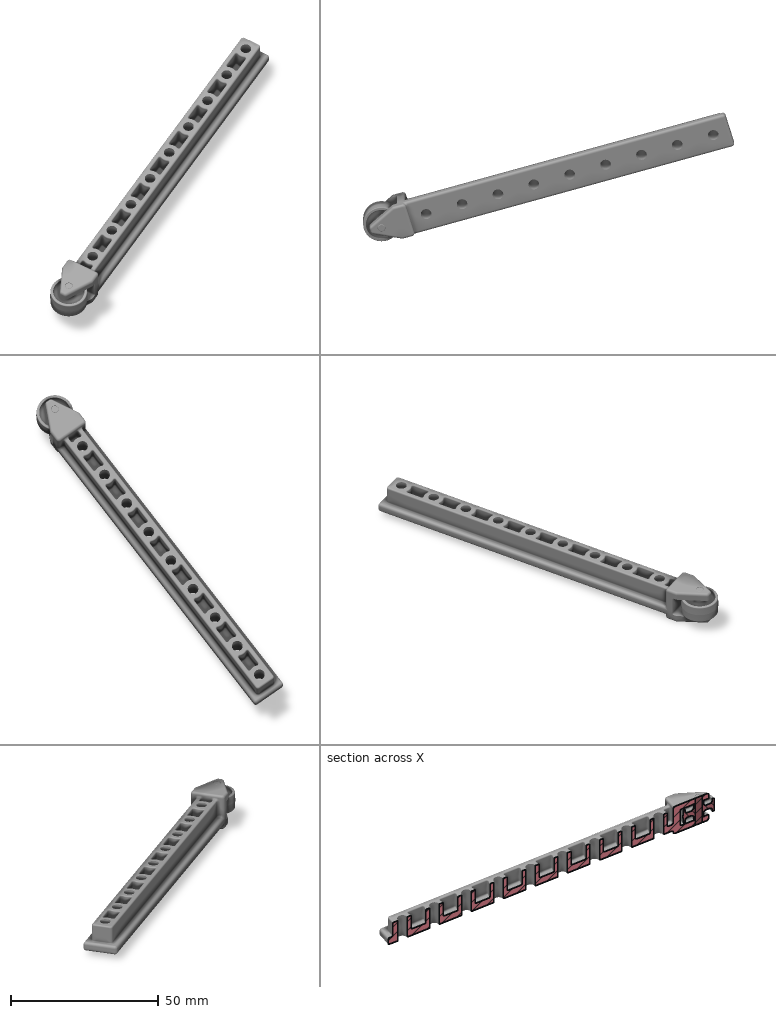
import cadquery as cq

RAIL_END_Y = 123.2
FOOT_WIDTH = 12.0
FOOT_BOTTOM_Z = -4.7
FOOT_TOP_Z = -1.5
WEB_WIDTH = 7.4
WEB_TOP_Z = 4.7
WEB_SETBACK = 2.0
EDGE_ROUND = 0.9
WEB_TOP_ROUND = 0.5
WEB_ROOT_ROUND = 0.4

HOLE_RADIUS = 1.8
HOLE_PITCH = 12.7
HOLE_COUNT = 9
FIRST_HOLE_Y = 15.8
POCKET_WIDTH = 4.1
POCKET_FLOOR_Z = FOOT_TOP_Z
POCKET_CORNER_ROUND = 0.5
POCKET_RIM_ROUND = 0.4
POCKET_FLOOR_ROUND = 0.4
BOSS_RADIUS = 3.5

FORK_HEIGHT = 12.5
FORK_BACK_Y = 10.1
FORK_TIP_Y = -4.0
FORK_TIP_WIDTH = 2.3
TAPER_START_Y = 5.7
HEAD_CORNER_ROUND = 1.0
PRONG_EDGE_ROUND = 0.84
HEAD_TOP_ROOT_ROUND = 0.8
HEAD_BOTTOM_ROOT_ROUND = 0.6
SLOT_END_Y = 7.3
SLOT_HEIGHT = 7.0
SLOT_CORNER_ROUND = 0.5

WHEEL_RADIUS = 6.3
WHEEL_WIDTH = 6.0
WHEEL_FACE_RADIUS = 6.2
WHEEL_EDGE_ROUND = 0.3
RIM_INNER_RADIUS = 5.3
HUB_RADIUS = 2.1
HUB_LENGTH = SLOT_HEIGHT
DISC_WIDTH = 2.3
DISC_CORNER_ROUND = 0.9

PIN_RADIUS = 1.3
PIN_EDGE_ROUND = 0.3

MARGIN = 0.1


def block(width, y_start, y_end, z_start, z_end):
    """A box centred on X = 0 between the given Y and Z limits."""
    size = (width, y_end - y_start, z_end - z_start)
    corner = (0, y_start, z_start)
    return cq.Workplane("XY").box(*size, centered=(True, False, False)).translate(corner)


def cylinder(radius, z_start, z_end, y=0):
    """A cylinder parallel to Z whose axis crosses the Y axis at y."""
    return cq.Workplane("XY", origin=(0, y, z_start)).circle(radius).extrude(z_end - z_start)


def make_foot():
    foot = block(FOOT_WIDTH, SLOT_END_Y, RAIL_END_Y, FOOT_BOTTOM_Z, FOOT_TOP_Z)
    return foot.edges().fillet(EDGE_ROUND)


def make_web():
    middle_of_foot = (FOOT_BOTTOM_Z + FOOT_TOP_Z) / 2
    web = block(WEB_WIDTH, SLOT_END_Y, RAIL_END_Y - WEB_SETBACK, middle_of_foot, WEB_TOP_Z)
    web = web.edges("|Z and >Y").fillet(EDGE_ROUND)
    return web.faces(">Z").edges().fillet(WEB_TOP_ROUND)


def make_fork_head():
    half_width = FOOT_WIDTH / 2
    half_tip = FORK_TIP_WIDTH / 2
    outline = [
        (-half_width, FORK_BACK_Y),
        (-half_width, TAPER_START_Y),
        (-half_tip, FORK_TIP_Y),
        (half_tip, FORK_TIP_Y),
        (half_width, TAPER_START_Y),
        (half_width, FORK_BACK_Y),
    ]
    base = cq.Workplane("XY", origin=(0, 0, -FORK_HEIGHT / 2))
    head = base.polyline(outline).close().extrude(FORK_HEIGHT)
    head = head.edges("|Z").fillet(HEAD_CORNER_ROUND)
    return head.faces("<Z or >Z").edges().fillet(PRONG_EDGE_ROUND)


def make_pocket(hole_y):
    """The recess between the hole at hole_y and the next place along the row towards the fork."""
    next_y = hole_y - HOLE_PITCH
    pocket = block(POCKET_WIDTH, next_y, hole_y, POCKET_FLOOR_Z, WEB_TOP_Z)
    for boss_y in (hole_y, next_y):
        pocket = pocket.cut(cylinder(BOSS_RADIUS, POCKET_FLOOR_Z, WEB_TOP_Z, boss_y))
    pocket = pocket.edges("|Z").fillet(POCKET_CORNER_ROUND)
    return pocket.faces("<Z").edges().fillet(POCKET_FLOOR_ROUND)


def make_beam():
    """The foot and web with their rounded inner corner, pockets and holes."""
    beam = make_foot().union(make_web())
    web_root = cq.selectors.BoxSelector(
        (-WEB_WIDTH / 2 - MARGIN, SLOT_END_Y + MARGIN, FOOT_TOP_Z - MARGIN),
        (WEB_WIDTH / 2 + MARGIN, RAIL_END_Y - WEB_SETBACK + MARGIN, FOOT_TOP_Z + MARGIN),
    )
    beam = beam.edges(web_root).fillet(WEB_ROOT_ROUND)

    hole_places = [FIRST_HOLE_Y + index * HOLE_PITCH for index in range(HOLE_COUNT)]
    for hole_y in hole_places:
        beam = beam.cut(make_pocket(hole_y))
    pocket_rims = cq.selectors.BoxSelector(
        (-POCKET_WIDTH / 2 - MARGIN, SLOT_END_Y + MARGIN, WEB_TOP_Z - MARGIN),
        (POCKET_WIDTH / 2 + MARGIN, hole_places[-1], WEB_TOP_Z + MARGIN),
    )
    beam = beam.edges(pocket_rims).fillet(POCKET_RIM_ROUND)
    for hole_y in hole_places:
        beam = beam.cut(cylinder(HOLE_RADIUS, FOOT_BOTTOM_Z, WEB_TOP_Z, hole_y))
    return beam


def round_head_roots(rail):
    """Rounds the inner corners where the foot runs into the back of the fork head."""
    inside_x = FOOT_WIDTH / 2 - HEAD_CORNER_ROUND

    def root_at(z):
        return cq.selectors.BoxSelector(
            (-inside_x, FORK_BACK_Y - MARGIN, z - MARGIN),
            (inside_x, FORK_BACK_Y + MARGIN, z + MARGIN),
        )

    rail = rail.edges(root_at(FOOT_BOTTOM_Z)).fillet(HEAD_BOTTOM_ROOT_ROUND)
    return rail.edges(root_at(FOOT_TOP_Z)).fillet(HEAD_TOP_ROOT_ROUND)


def make_rail():
    rail = round_head_roots(make_beam().union(make_fork_head()))
    slot = block(FOOT_WIDTH, FORK_TIP_Y, SLOT_END_Y, -SLOT_HEIGHT / 2, SLOT_HEIGHT / 2)
    slot = slot.edges("|X and >Y").fillet(SLOT_CORNER_ROUND)
    pin_hole = cylinder(PIN_RADIUS, -FORK_HEIGHT / 2, FORK_HEIGHT / 2)
    return rail.cut(slot).cut(pin_hole)


def make_wheel():
    half_profile = [
        (0, 0),
        (WHEEL_RADIUS, 0),
        (WHEEL_FACE_RADIUS, WHEEL_WIDTH / 2),
        (0, WHEEL_WIDTH / 2),
    ]
    upper_half = cq.Workplane("XZ").polyline(half_profile).close().revolve(360, (0, 0), (0, 1))
    upper_half = upper_half.faces(">Z").edges().fillet(WHEEL_EDGE_ROUND)
    wheel = upper_half.union(upper_half.mirror("XY"))

    groove_depth = (HUB_LENGTH - DISC_WIDTH) / 2
    groove_base = cq.Workplane("XY", origin=(0, 0, DISC_WIDTH / 2))
    groove = groove_base.circle(RIM_INNER_RADIUS).circle(HUB_RADIUS).extrude(groove_depth)
    groove = groove.faces("<Z").edges().fillet(DISC_CORNER_ROUND)

    hub = cylinder(HUB_RADIUS, -HUB_LENGTH / 2, HUB_LENGTH / 2)
    bore = cylinder(PIN_RADIUS, -HUB_LENGTH / 2, HUB_LENGTH / 2)
    return wheel.cut(groove).cut(groove.mirror("XY")).union(hub).cut(bore)


def make_pin():
    return cylinder(PIN_RADIUS, -FORK_HEIGHT / 2, FORK_HEIGHT / 2).edges().fillet(PIN_EDGE_ROUND)


rail = make_rail()
wheel = make_wheel()
pin = make_pin()
result = cq.Compound.makeCompound([rail.val(), wheel.val(), pin.val()])